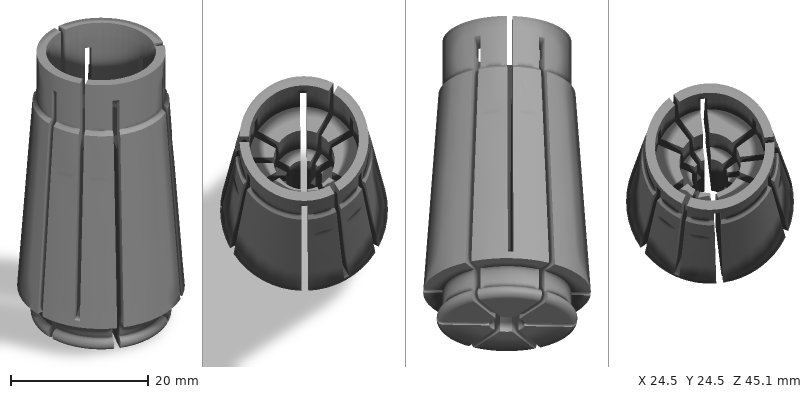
import cadquery as cq
import math

total_height = 45.1
bead_roll_top = 1.85
bead_top = 2.35
cone_base_z = 5.1
cone_top_z = 36.7
collar_base_z = 37.3
bead_outer_radius = 10.3
neck_radius = 9.43
cone_base_diameter = 24.5
cone_base_radius = cone_base_diameter / 2
cone_top_radius = 10.0
collar_radius = neck_radius

collet_bore_radius = 2.65
middle_bore_radius = 4.45
top_bore_radius = 8.05
middle_bore_floor_z = 22.9
top_bore_floor_z = 33.1

saw_radius = 20.0

base_slot_width = 1.0
base_slot_outer_top_z = 42.35
base_slot_saw_center_radius = 22.78
base_slot_count = 6
base_slot_pitch = 360 / base_slot_count

top_slot_width = 0.8
top_slot_outer_floor_z = 6.2
top_slot_saw_center_radius = 15.8
top_slot_count = 3
top_slot_pitch = 360 / top_slot_count

overcut = 0.45
slot_reach = cone_base_radius + overcut


def make_body():
    """Solid of revolution: bead, neck, cone and collar."""
    roll_radius = bead_roll_top / 2
    roll_center = bead_outer_radius - roll_radius
    return (
        cq.Workplane("XZ")
        .lineTo(roll_center, 0)
        .threePointArc((bead_outer_radius, roll_radius), (roll_center, bead_roll_top))
        .lineTo(neck_radius, bead_top)
        .lineTo(neck_radius, cone_base_z)
        .lineTo(cone_base_radius, cone_base_z)
        .lineTo(cone_top_radius, cone_top_z)
        .lineTo(collar_radius, collar_base_z)
        .lineTo(collar_radius, total_height)
        .lineTo(0, total_height)
        .close()
        .revolve(360, (0, 0), (0, 1))
    )


def bore(radius, floor_z):
    """Cylinder on the axis from a floor height up to the top face."""
    return cq.Workplane("XY").workplane(offset=floor_z).circle(radius).extrude(total_height - floor_z)


def saw_depth(radius, saw_center_radius):
    """Axial distance from the saw center to its rim at a given distance from the part axis."""
    return math.sqrt(saw_radius**2 - (saw_center_radius - radius) ** 2)


def base_slot():
    """Radial blade along +X whose arc-shaped upper end falls towards the axis."""
    saw_center_z = base_slot_outer_top_z - saw_depth(collar_radius, base_slot_saw_center_radius)

    def end_point(radius):
        return (radius, saw_center_z + saw_depth(radius, base_slot_saw_center_radius))

    inner_radius = top_bore_radius - overcut
    middle_radius = (inner_radius + slot_reach) / 2
    inner_end_z = end_point(inner_radius)[1]
    return (
        cq.Workplane("XZ")
        .moveTo(0, -overcut)
        .lineTo(slot_reach, -overcut)
        .lineTo(*end_point(slot_reach))
        .threePointArc(end_point(middle_radius), end_point(inner_radius))
        .lineTo(0, inner_end_z)
        .close()
        .extrude(base_slot_width / 2, both=True)
    )


def top_slot():
    """Radial blade along +X whose arc-shaped floor rises towards the axis."""
    saw_center_z = top_slot_outer_floor_z + saw_depth(cone_base_radius, top_slot_saw_center_radius)

    def floor_point(radius):
        return (radius, saw_center_z - saw_depth(radius, top_slot_saw_center_radius))

    middle_radius = slot_reach / 2
    return (
        cq.Workplane("XZ")
        .moveTo(0, total_height + overcut)
        .lineTo(*floor_point(0))
        .threePointArc(floor_point(middle_radius), floor_point(slot_reach))
        .lineTo(slot_reach, total_height + overcut)
        .close()
        .extrude(top_slot_width / 2, both=True)
    )


def turned(blade, angle):
    return blade.rotate((0, 0, 0), (0, 0, 1), angle)


result = make_body()
result = result.cut(bore(collet_bore_radius, 0))
result = result.cut(bore(middle_bore_radius, middle_bore_floor_z))
result = result.cut(bore(top_bore_radius, top_bore_floor_z))
for index in range(base_slot_count):
    result = result.cut(turned(base_slot(), (index + 0.5) * base_slot_pitch))
for index in range(top_slot_count):
    result = result.cut(turned(top_slot(), (index + 0.5) * top_slot_pitch))